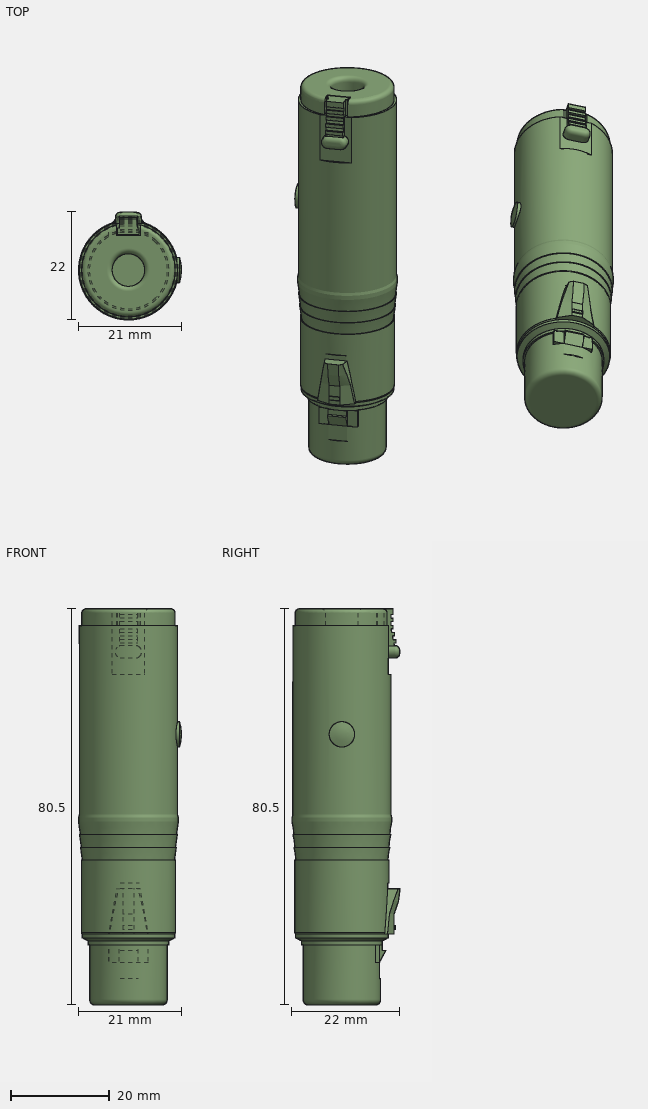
import cadquery as cq
import math

TOTAL_HEIGHT = 80.5

TUBE_RADIUS = 7.9
TUBE_TOP_Z = 12.2
TUBE_END_FILLET = 1.1
NECK_RADIUS = 8.2
NECK_TOP_Z = 13.05

BODY_RADIUS = 9.6
BODY_STEP_RADIUS = 9.4
BODY_CONE_TOP_Z = 13.7
BODY_STEP_Z = 14.4
BODY_EDGE_Z = 14.7
BODY_TOP_Z = 29.5

GRIP_COUNT = 3
GRIP_PITCH = 2.6
GRIP_TAPER = 0.36
GRIP_RADIUS_STEP = 0.2
COLLAR_RADIUS = 10.15
COLLAR_EDGE_Z = 38.1
COLLAR_TOP_Z = 38.6

SLEEVE_RADIUS = 10.0
SLEEVE_TOP_Z = 77.0
CAP_RADIUS = 9.5
CAP_FILLET = 1.0
BORE_RADIUS = 3.3
BORE_DEPTH = 3.4
BORE_RIM_FILLET = 1.05

FLAT_Y = 9.4
FLAT_BOTTOM_Z = 67.1
CAP_SLOT_WIDTH = 4.8
CAP_SLOT_Y = 7.0
SLIDE_GAP = 0.25
SLIDE_HEAD_DEPTH = 1.3
SLIDE_STEM_WIDTH = 3.6
SLIDE_FACE_Y = 10.0
SLIDE_BEND_Z = 76.5
SLIDE_FOOT_Y = 10.95
LIP_HEIGHT = 1.2
RIB_COUNT = 4
RIB_PITCH = 1.45
RIB_HEIGHT = 0.7
RIB_DEPTH = 0.4
KNOB_WIDTH = 5.3
KNOB_HEIGHT = 2.6
KNOB_CENTER_Z = 71.7
KNOB_TOP_Y = 11.75
KNOB_FILLET = 1.0

BUTTON_RADIUS = 2.6
BUTTON_CENTER_Z = 55.0
BUTTON_EDGE_X = 10.4
BUTTON_TOP_X = 10.8

POCKET_Y = 9.3
POCKET_TOP_Z = 24.8
LEVER_BOTTOM_Z = 14.4
LEVER_TOP_Z = 23.7
LEVER_ROOT_Y = 7.25
LEVER_FACE_HALF_WIDTH = 1.1
LEVER_FACE_Y = 10.6
LEVER_TIP_Y = 11.8
LEVER_LIP_Y = 10.9
LEVER_LIP_BOTTOM_Z = 15.4
LEVER_LIP_TOP_Z = 16.2
LEVER_SECTIONS = [
    (LEVER_BOTTOM_Z, 4.4, 3.9, 9.25, LEVER_FACE_Y),
    (18.5, 3.7, 3.1, 9.7, LEVER_FACE_Y),
    (21.1, 3.2, 2.6, 10.5, 11.5),
    (LEVER_TOP_Z, 2.65, 1.9, 11.4, LEVER_TIP_Y),
]

KEY_FLAT_Y = 7.65
KEY_FLAT_BOTTOM_Z = 5.4
CATCH_WIDTH = 3.9
CATCH_PAD_WIDTH = 8.05
CATCH_BOTTOM_Z = 8.7
CATCH_TOP_Z = 11.1
CATCH_TIP_Y = 8.9
CATCH_ROOT_Y = 6.85

FAR = 32.2
ROOT_OVERLAP = 1.2


def block(x_size, y_range, z_range):
    """Box centred on X that spans the given Y and Z ranges."""
    y_size = y_range[1] - y_range[0]
    z_size = z_range[1] - z_range[0]
    corner = (-x_size / 2, y_range[0], z_range[0])
    return cq.Workplane("XY").box(x_size, y_size, z_size, centered=False).translate(corner)


def side_profile(points, width):
    """Extrude a (y, z) outline symmetrically along X."""
    return cq.Workplane("YZ").polyline(points).close().extrude(width / 2, both=True)


def turned_body():
    outline = [
        (0, 0),
        (TUBE_RADIUS, 0),
        (TUBE_RADIUS, TUBE_TOP_Z),
        (NECK_RADIUS, TUBE_TOP_Z),
        (NECK_RADIUS, NECK_TOP_Z),
        (BODY_STEP_RADIUS, BODY_CONE_TOP_Z),
        (BODY_STEP_RADIUS, BODY_STEP_Z),
        (BODY_RADIUS, BODY_EDGE_Z),
        (BODY_RADIUS, BODY_TOP_Z),
    ]
    for ring in range(GRIP_COUNT):
        bottom_z = BODY_TOP_Z + ring * GRIP_PITCH
        top_radius = COLLAR_RADIUS - (GRIP_COUNT - 1 - ring) * GRIP_RADIUS_STEP
        outline.append((top_radius - GRIP_TAPER, bottom_z))
        outline.append((top_radius, bottom_z + GRIP_PITCH))
    outline += [
        (COLLAR_RADIUS, COLLAR_EDGE_Z),
        (SLEEVE_RADIUS, COLLAR_TOP_Z),
        (SLEEVE_RADIUS, SLEEVE_TOP_Z),
        (CAP_RADIUS, SLEEVE_TOP_Z),
        (CAP_RADIUS, TOTAL_HEIGHT),
        (0, TOTAL_HEIGHT),
    ]
    body = cq.Workplane("XZ").polyline(outline).close().revolve(360, (0, 0, 0), (0, 1, 0))
    body = body.faces("<Z").edges().fillet(TUBE_END_FILLET)
    body = body.faces(">Z").edges().fillet(CAP_FILLET)
    body = body.faces(">Z").workplane().hole(2 * BORE_RADIUS, BORE_DEPTH)
    rim = cq.selectors.RadiusNthSelector(0)
    return body.faces(">Z").edges(rim).fillet(BORE_RIM_FILLET)


def flats_and_slot():
    sleeve_flat = block(FAR, (FLAT_Y, FAR), (FLAT_BOTTOM_Z, SLEEVE_TOP_Z))
    cap_slot = block(CAP_SLOT_WIDTH, (CAP_SLOT_Y, FAR), (SLEEVE_TOP_Z, TOTAL_HEIGHT))
    lever_pocket = block(FAR, (POCKET_Y, FAR), (LEVER_BOTTOM_Z, POCKET_TOP_Z))
    key_flat = block(FAR, (KEY_FLAT_Y, FAR), (KEY_FLAT_BOTTOM_Z, TUBE_TOP_Z))
    return sleeve_flat.union(cap_slot).union(lever_pocket).union(key_flat)


def slide_switch():
    head_y = CAP_SLOT_Y + SLIDE_GAP
    head_range = (head_y, head_y + SLIDE_HEAD_DEPTH)
    head_width = CAP_SLOT_WIDTH - 2 * SLIDE_GAP
    slide = block(head_width, head_range, (SLEEVE_TOP_Z, TOTAL_HEIGHT))
    stem = [
        (head_y, SLEEVE_TOP_Z),
        (head_y, TOTAL_HEIGHT),
        (SLIDE_FACE_Y, TOTAL_HEIGHT),
        (SLIDE_FACE_Y, SLIDE_BEND_Z),
        (SLIDE_FOOT_Y, KNOB_CENTER_Z),
        (head_y, KNOB_CENTER_Z),
    ]
    slide = slide.union(side_profile(stem, SLIDE_STEM_WIDTH))
    slope = (SLIDE_FOOT_Y - SLIDE_FACE_Y) / (SLIDE_BEND_Z - KNOB_CENTER_Z)
    lip_bottom = TOTAL_HEIGHT - LIP_HEIGHT
    lip_range = (FLAT_Y, SLIDE_FACE_Y + RIB_DEPTH)
    slide = slide.union(block(SLIDE_STEM_WIDTH, lip_range, (lip_bottom, TOTAL_HEIGHT)))
    for index in range(1, RIB_COUNT + 1):
        rib_bottom = lip_bottom - index * RIB_PITCH
        rib_top = rib_bottom + RIB_HEIGHT
        face_y = SLIDE_FACE_Y + slope * max(0, SLIDE_BEND_Z - rib_bottom)
        rib = block(SLIDE_STEM_WIDTH, (FLAT_Y, face_y + RIB_DEPTH), (rib_bottom, rib_top))
        slide = slide.union(rib)
    root_y = FLAT_Y - ROOT_OVERLAP
    knob = (
        cq.Workplane("XZ", origin=(0, root_y, KNOB_CENTER_Z))
        .slot2D(KNOB_WIDTH, KNOB_HEIGHT)
        .extrude(root_y - KNOB_TOP_Y)
        .faces(">Y")
        .edges()
        .fillet(KNOB_FILLET)
    )
    return slide.union(knob)


def button():
    dome_height = BUTTON_TOP_X - BUTTON_EDGE_X
    sphere_radius = (BUTTON_RADIUS**2 + dome_height**2) / (2 * dome_height)
    mid_offset = BUTTON_RADIUS / 2
    mid_drop = sphere_radius - math.sqrt(sphere_radius**2 - mid_offset**2)
    root_x = SLEEVE_RADIUS - ROOT_OVERLAP
    return (
        cq.Workplane("XY")
        .moveTo(root_x, 0)
        .lineTo(BUTTON_TOP_X, 0)
        .threePointArc((BUTTON_TOP_X - mid_drop, mid_offset), (BUTTON_EDGE_X, BUTTON_RADIUS))
        .lineTo(root_x, BUTTON_RADIUS)
        .close()
        .revolve(360, (0, 0, 0), (1, 0, 0))
        .translate((0, 0, BUTTON_CENTER_Z))
    )


def lever_section(z, base_half_width, edge_half_width, edge_y, face_y):
    """Closed cross-section of the lever at height z."""
    right = [
        (base_half_width, LEVER_ROOT_Y),
        (edge_half_width, edge_y),
        (LEVER_FACE_HALF_WIDTH, face_y),
    ]
    left = [(-x, y) for x, y in reversed(right)]
    return cq.Wire.makePolygon([cq.Vector(x, y, z) for x, y in right + left], close=True)


def lever():
    sections = [lever_section(*sizes) for sizes in LEVER_SECTIONS]
    lip_range = (LEVER_LIP_BOTTOM_Z, LEVER_LIP_TOP_Z)
    lip = block(2 * LEVER_FACE_HALF_WIDTH, (LEVER_ROOT_Y, LEVER_LIP_Y), lip_range)
    return cq.Workplane(cq.Solid.makeLoft(sections, True)).union(lip)


def catch():
    support = block(CATCH_WIDTH, (CATCH_ROOT_Y, NECK_RADIUS), (CATCH_TOP_Z, TUBE_TOP_Z))
    pad = block(CATCH_PAD_WIDTH, (CATCH_ROOT_Y, KEY_FLAT_Y), (CATCH_BOTTOM_Z, TUBE_TOP_Z))
    wedge = [
        (CATCH_ROOT_Y, CATCH_BOTTOM_Z),
        (KEY_FLAT_Y, CATCH_BOTTOM_Z),
        (CATCH_TIP_Y, CATCH_TOP_Z),
        (CATCH_ROOT_Y, CATCH_TOP_Z),
    ]
    return support.union(pad).union(side_profile(wedge, CATCH_WIDTH))


result = turned_body().cut(flats_and_slot())
for feature in (slide_switch(), button(), lever(), catch()):
    result = result.union(feature)